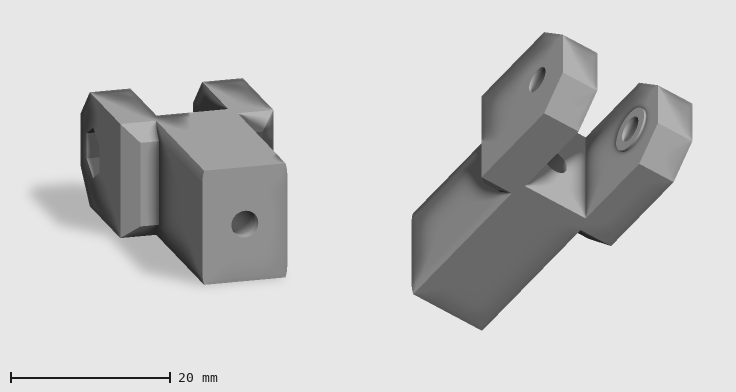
import cadquery as cq
import math

length = 38.5
width = 20.0
height = 15.0

fork_length = 17.4
slot_depth = 15.45
slot_width = 9.35
nose_chamfer = 4.0

taper_length = 2.1
taper_inset = 2.0

shank_width = 11.1
edge_drop = 0.25
edge_height = 1.55

pivot_x = 5.45
bore_diameter = 3.5
boss_diameter = 6.0
boss_height = 0.35
nut_flats = 5.78
nut_depth = 3.0


def make_fork():
    """Solid fork block with its free end chamfered at top and bottom."""
    block = cq.Workplane("XY").box(fork_length, width, height, centered=(False, True, True))
    return block.edges("<X and |Y").chamfer(nose_chamfer)


def make_shoulder():
    """Frustum that narrows on all four sides behind the fork."""
    return (
        cq.Workplane("YZ", origin=(fork_length, 0, 0))
        .rect(width, height)
        .workplane(offset=taper_length)
        .rect(width - 2 * taper_inset, height - 2 * taper_inset)
        .loft(ruled=True)
    )


def make_shank():
    """Prism whose flat sides run tangentially into arcs at the top and bottom."""
    arc_radius = (edge_height**2 + edge_drop**2) / (2 * edge_drop)
    half_angle = math.asin(edge_height / arc_radius) / 2
    side = shank_width / 2
    top = height / 2
    flat_top = top - edge_height
    mid_y = side - arc_radius * (1 - math.cos(half_angle))
    mid_z = flat_top + arc_radius * math.sin(half_angle)
    end_y = side - edge_drop
    return (
        cq.Workplane("YZ", origin=(fork_length, 0, 0))
        .moveTo(-end_y, top)
        .lineTo(end_y, top)
        .threePointArc((mid_y, mid_z), (side, flat_top))
        .lineTo(side, -flat_top)
        .threePointArc((mid_y, -mid_z), (end_y, -top))
        .lineTo(-end_y, -top)
        .threePointArc((-mid_y, -mid_z), (-side, -flat_top))
        .lineTo(-side, flat_top)
        .threePointArc((-mid_y, mid_z), (-end_y, top))
        .close()
        .extrude(length - fork_length)
    )


def pivot_plane(y):
    """Plane at the given Y, centred on the pivot and facing +Y."""
    return cq.Workplane(cq.Plane(origin=(pivot_x, y, 0), xDir=(1, 0, 0), normal=(0, 1, 0)))


body = make_fork().union(make_shoulder()).union(make_shank())

slot = cq.Workplane("XY").box(slot_depth, slot_width, height, centered=(False, True, True))
body = body.cut(slot)

for side in (-1, 1):
    boss = pivot_plane(side * slot_width / 2).circle(boss_diameter / 2).extrude(-side * boss_height)
    body = body.union(boss)

pivot_bore = pivot_plane(-width / 2).circle(bore_diameter / 2).extrude(width)
shank_bore = cq.Workplane("YZ").circle(bore_diameter / 2).extrude(length)
body = body.cut(pivot_bore).cut(shank_bore)

nut_corners = nut_flats / math.cos(math.pi / 6)
nut_pocket = (
    pivot_plane(-width / 2)
    .transformed(rotate=(0, 0, 90))
    .polygon(6, nut_corners)
    .extrude(nut_depth)
)

result = body.cut(nut_pocket)